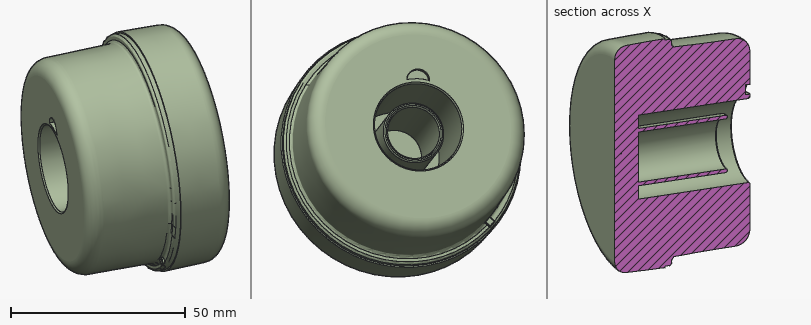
import cadquery as cq
import math

total_length = 42.5
body_round_end = 4.55
neck_start = 23.65
flange_start = 24.55
rim_round_end = 25.25
rim_end = 26.65
back_round_start = 38.7

front_face_radius = 27.1
body_front_radius = 31.7
body_neck_radius = 32.0
neck_round = flange_start - neck_start
rim_radius = 34.55
rim_round = rim_round_end - flange_start
flange_radius = 34.95
flange_back_radius = 34.7
back_round = total_length - back_round_start

bore_radius = 12.7
bore_depth = 34.95
bore_chamfer = 0.4
tube_outer_radius = 8.8
tube_inner_radius = 7.55
tube_tip = 7.05
tube_chamfer = 0.4

pocket_radius = 3.3
pocket_center_z = 13.7
pocket_wall_radius = 14.1
pocket_depth = 1.4

peg_side = 2.25
peg_angle = -39.5
peg_center_radius = 32.9
peg_front = 23.8
peg_chamfer = 0.2


def revolve_about_y(profile):
    return profile.close().revolve(360, (0, 0, 0), (0, 1, 0))


def front_plane(y):
    """XZ sketch plane at the given Y; negative extrusions run toward +Y."""
    return cq.Workplane("XZ", origin=(0, y, 0))


def outer_body():
    mid = math.sqrt(0.5)
    body_round = body_front_radius - front_face_radius
    profile = (
        cq.Workplane("XY")
        .lineTo(front_face_radius, 0)
        .threePointArc(
            (front_face_radius + body_round * mid, body_round_end * (1 - mid)),
            (body_front_radius, body_round_end),
        )
        .lineTo(body_neck_radius, neck_start)
        .threePointArc(
            (body_neck_radius + neck_round * (1 - mid), neck_start + neck_round * mid),
            (body_neck_radius + neck_round, flange_start),
        )
        .lineTo(rim_radius - rim_round, flange_start)
        .threePointArc(
            (rim_radius - rim_round * (1 - mid), rim_round_end - rim_round * mid),
            (rim_radius, rim_round_end),
        )
        .lineTo(rim_radius, rim_end)
        .lineTo(flange_radius, rim_end)
        .lineTo(flange_back_radius, back_round_start)
        .threePointArc(
            (flange_back_radius - back_round * (1 - mid), back_round_start + back_round * mid),
            (flange_back_radius - back_round, total_length),
        )
        .lineTo(0, total_length)
    )
    return revolve_about_y(profile)


def blind_bore():
    profile = (
        cq.Workplane("XY")
        .lineTo(bore_radius + bore_chamfer, 0)
        .lineTo(bore_radius, bore_chamfer)
        .lineTo(bore_radius, bore_depth)
        .lineTo(0, bore_depth)
    )
    return revolve_about_y(profile)


def center_tube():
    chamfer_end = tube_tip + tube_chamfer
    profile = (
        cq.Workplane("XY")
        .moveTo(tube_inner_radius, bore_depth)
        .lineTo(tube_inner_radius, chamfer_end)
        .lineTo(tube_inner_radius + tube_chamfer, tube_tip)
        .lineTo(tube_outer_radius - tube_chamfer, tube_tip)
        .lineTo(tube_outer_radius, chamfer_end)
        .lineTo(tube_outer_radius, bore_depth)
    )
    return revolve_about_y(profile)


def half_moon_pocket():
    disc = front_plane(0).center(0, pocket_center_z).circle(pocket_radius).extrude(-pocket_depth)
    bore_wall = front_plane(0).circle(pocket_wall_radius).extrude(-pocket_depth)
    return disc.cut(bore_wall)


def locating_peg():
    peg = (
        front_plane(peg_front)
        .center(peg_center_radius, 0)
        .rect(peg_side, peg_side)
        .extrude(peg_front - rim_end)
        .faces("<Y")
        .chamfer(peg_chamfer)
    )
    return peg.rotate((0, 0, 0), (0, 1, 0), -peg_angle)


result = outer_body().cut(blind_bore()).union(center_tube())
result = result.cut(half_moon_pocket()).union(locating_peg())